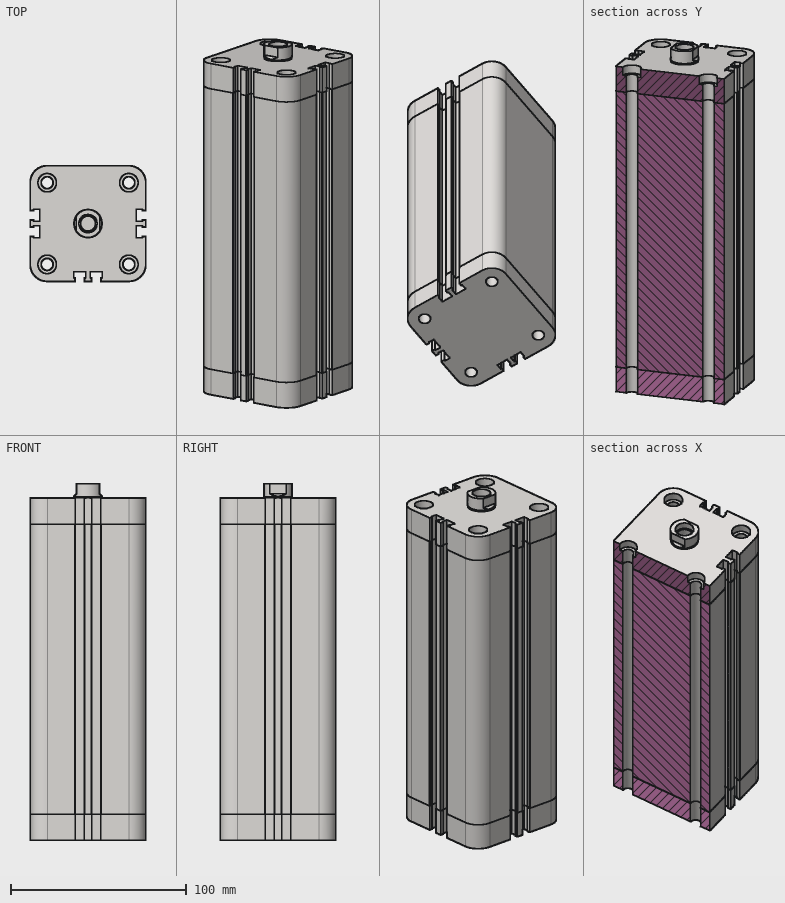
import cadquery as cq

side = 66.0
total_height = 203.0
corner_radius = 9.7

base_cap_height = 15.0
head_cap_height = 14.8
head_top = 194.9
barrel_top = head_top - head_cap_height
barrel_height = barrel_top - base_cap_height

slot_offset = 4.7
slot_mouth_width = 5.3
slot_width = 6.7
slot_depth = 5.5
slot_lip = 2.0
barrel_mouth_chamfer = 0.3
slotted_sides = (-90, 0, 90)

screw_spacing = 46.5
screw_hole_diameter = 6.7
screw_counterbore_diameter = 10.5
screw_counterbore_depth = 4.9

rod_diameter = 15.8
rod_tip_diameter = 16.0
rod_tip_length = 7.3
flat_width = 13.2
flat_length = 5.7
rod_bore_diameter = 8.5
rod_bore_depth = 16.2
rod_counterbore_diameter = 10.4
rod_counterbore_depth = 4.3


def slot_cutter(bottom, height, mouth_chamfer):
    """One T-shaped slot, centred on X = 0 and open at the -Y side, with an optional chamfered mouth."""
    outer_y = -side / 2
    lip_y = outer_y + slot_lip
    mouth = (
        cq.Workplane("XY", origin=(0, outer_y, bottom))
        .rect(slot_mouth_width, 2 * slot_lip)
        .extrude(height)
    )
    recess_depth = slot_depth - slot_lip
    recess = (
        cq.Workplane("XY", origin=(0, lip_y + recess_depth / 2, bottom))
        .rect(slot_width, recess_depth)
        .extrude(height)
    )
    cutter = mouth.union(recess)
    if mouth_chamfer > 0:
        half_mouth = slot_mouth_width / 2
        flare = (
            cq.Workplane("XY", origin=(0, outer_y, bottom))
            .moveTo(-half_mouth - mouth_chamfer, 0)
            .lineTo(half_mouth + mouth_chamfer, 0)
            .lineTo(half_mouth, mouth_chamfer)
            .lineTo(-half_mouth, mouth_chamfer)
            .close()
            .extrude(height)
        )
        cutter = cutter.union(flare)
    return cutter


def screw_hole_points(body):
    """The four screw positions, selected on the top face of a body."""
    return (
        body.faces(">Z")
        .workplane(origin=(0, 0, 0))
        .rect(screw_spacing, screw_spacing, forConstruction=True)
        .vertices()
    )


def profile_block(bottom, height, mouth_chamfer=0.0):
    """A length of the rounded square profile with its slots and screw holes."""
    block = (
        cq.Workplane("XY", origin=(0, 0, bottom))
        .rect(side, side)
        .extrude(height)
        .edges("|Z")
        .fillet(corner_radius)
    )
    cutter = slot_cutter(bottom, height, mouth_chamfer)
    for angle in slotted_sides:
        for offset in (-slot_offset, slot_offset):
            slot = cutter.translate((offset, 0, 0)).rotate((0, 0, 0), (0, 0, 1), angle)
            block = block.cut(slot)
    return screw_hole_points(block).hole(screw_hole_diameter)


def make_head_cap():
    """Top cap with counterbored screw holes and the passage for the rod."""
    cap = profile_block(barrel_top, head_cap_height)
    cap = screw_hole_points(cap).hole(screw_counterbore_diameter, screw_counterbore_depth)
    return cap.faces(">Z").workplane(origin=(0, 0, 0)).hole(rod_diameter)


def rod_flat_cutter():
    """Removes the +X side of the rod tip, ending in a 45 degree run-out."""
    flat_x = flat_width / 2
    outer_x = rod_tip_diameter
    flat_bottom = total_height - flat_length
    return (
        cq.Workplane("XZ")
        .moveTo(flat_x, total_height)
        .lineTo(flat_x, flat_bottom)
        .lineTo(outer_x, flat_bottom - (outer_x - flat_x))
        .lineTo(outer_x, total_height)
        .close()
        .extrude(rod_tip_diameter, both=True)
    )


def make_rod():
    """Rod standing on the barrel, with wrench flats and a bored end."""
    tip_bottom = total_height - rod_tip_length
    shank = (
        cq.Workplane("XY", origin=(0, 0, barrel_top))
        .circle(rod_diameter / 2)
        .extrude(tip_bottom - barrel_top)
    )
    tip = (
        cq.Workplane("XY", origin=(0, 0, tip_bottom))
        .circle(rod_tip_diameter / 2)
        .extrude(rod_tip_length)
    )
    flat = rod_flat_cutter()
    return (
        shank.union(tip)
        .cut(flat)
        .cut(flat.mirror("YZ"))
        .faces(">Z")
        .workplane(origin=(0, 0, 0))
        .cboreHole(rod_bore_diameter, rod_counterbore_diameter, rod_counterbore_depth, rod_bore_depth)
    )


base_cap = profile_block(0, base_cap_height)
barrel = profile_block(base_cap_height, barrel_height, barrel_mouth_chamfer)
head_cap = make_head_cap()
rod = make_rod()

result = cq.Compound.makeCompound([base_cap.val(), barrel.val(), head_cap.val(), rod.val()])